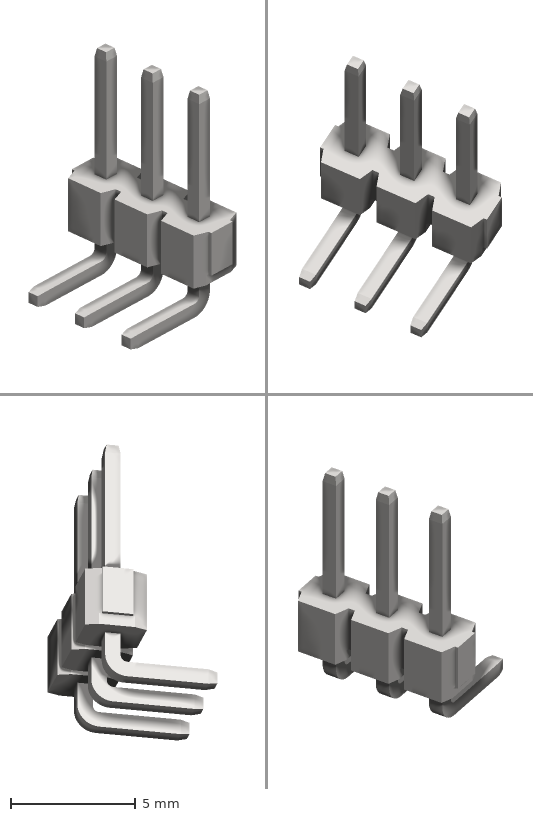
import cadquery as cq


POSITIONS = 3
ROW_LENGTH = 7.62
PITCH = ROW_LENGTH / POSITIONS

HOUSING_DEPTH = 2.54
HOUSING_BOTTOM = 1.85
HOUSING_HEIGHT = 2.46
END_FACE_WIDTH = 1.78
BLOCK_WIDTH = 2.24
WEB_DEPTH = 1.27
FOOT_WIDTH = 2.16
FOOT_HEIGHT = 0.48

PIN_SIDE = 0.64
PIN_HEIGHT = 10.17
LEG_REACH = 4.32
BEND_INNER_RADIUS = 0.26
TIP_LENGTH = 0.38
TIP_SIDE = 0.5



def make_housing(x):
    """Block with slanted corners, side webs, a narrower foot and a square pin hole."""
    quarter_outline = [
        (END_FACE_WIDTH / 2, HOUSING_DEPTH / 2),
        (BLOCK_WIDTH / 2, WEB_DEPTH / 2),
        (PITCH / 2, WEB_DEPTH / 2),
    ]
    right_side = quarter_outline + [(px, -py) for px, py in reversed(quarter_outline)]
    left_side = [(-px, -py) for px, py in right_side]
    block = (
        cq.Workplane("XY")
        .workplane(offset=HOUSING_BOTTOM)
        .polyline(right_side + left_side)
        .close()
        .extrude(HOUSING_HEIGHT)
    )

    relief_width = (PITCH - FOOT_WIDTH) / 2
    relief_x = (PITCH + FOOT_WIDTH) / 4
    reliefs = (
        cq.Workplane("XY")
        .workplane(offset=HOUSING_BOTTOM)
        .pushPoints([(-relief_x, 0), (relief_x, 0)])
        .rect(relief_width, HOUSING_DEPTH)
        .extrude(FOOT_HEIGHT)
    )

    pin_hole = (
        cq.Workplane("XY")
        .workplane(offset=HOUSING_BOTTOM)
        .rect(PIN_SIDE, PIN_SIDE)
        .extrude(HOUSING_HEIGHT)
    )
    return block.cut(reliefs).cut(pin_hole).translate((x, 0, 0)).val()


def make_tip(base_plane):
    """Tapered square tip that grows from the given plane along its normal."""
    return (
        cq.Workplane(base_plane)
        .rect(PIN_SIDE, PIN_SIDE)
        .workplane(offset=TIP_LENGTH)
        .rect(TIP_SIDE, TIP_SIDE)
        .loft(ruled=True)
    )


def make_pin(x):
    """Square wire: an upright, a quarter-circle bend and a leg to -Y, tapered at both ends."""
    upright_end = PIN_HEIGHT - TIP_LENGTH
    leg_end = -LEG_REACH + TIP_LENGTH
    leg_axis_height = PIN_SIDE / 2
    bend_radius = BEND_INNER_RADIUS + PIN_SIDE / 2
    bend_height = leg_axis_height + bend_radius

    centre_line = (
        cq.Workplane("YZ")
        .moveTo(0, upright_end)
        .lineTo(0, bend_height)
        .radiusArc((-bend_radius, leg_axis_height), bend_radius)
        .lineTo(leg_end, leg_axis_height)
    )
    wire = (
        cq.Workplane("XY")
        .workplane(offset=upright_end)
        .rect(PIN_SIDE, PIN_SIDE)
        .sweep(centre_line)
    )
    top_tip = make_tip(cq.Plane((0, 0, upright_end), (1, 0, 0), (0, 0, 1)))
    leg_tip = make_tip(cq.Plane((0, leg_end, leg_axis_height), (1, 0, 0), (0, -1, 0)))
    return wire.union(top_tip).union(leg_tip).translate((x, 0, 0)).val()


centres = [(i - (POSITIONS - 1) / 2) * PITCH for i in range(POSITIONS)]
housings = [make_housing(x) for x in centres]
pins = [make_pin(x) for x in centres]

result = cq.Compound.makeCompound([*housings, *pins])